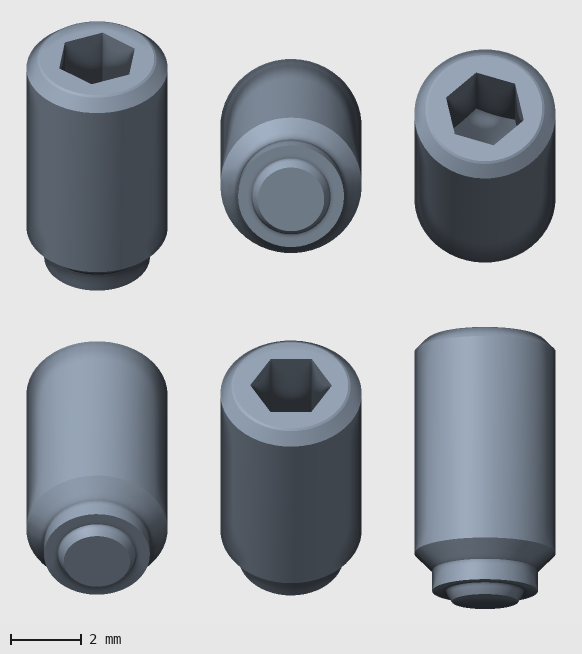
import cadquery as cq
import math

TOTAL_HEIGHT = 7.6
SCREW_RADIUS = 2.0
DOG_RADIUS = 1.5
DOG_BOTTOM = 0.305
DOG_TOP = 0.9
CHAMFER_TOP = DOG_TOP + SCREW_RADIUS - DOG_RADIUS

TOP_CHAMFER = 0.31
BEVEL_HEIGHT = 0.04
BEVEL_WIDTH = 0.07
BEVEL_BOTTOM = TOTAL_HEIGHT - BEVEL_HEIGHT
BEVEL_RADIUS = SCREW_RADIUS - TOP_CHAMFER
RIM_RADIUS = BEVEL_RADIUS - BEVEL_WIDTH

HEX_ACROSS_FLATS = 2.0
HEX_DEPTH = 2.5
CONE_HALF_ANGLE = 60.0
HEX_CORNER_RADIUS = HEX_ACROSS_FLATS / math.sqrt(3)
CONE_DEPTH = HEX_CORNER_RADIUS / math.tan(math.radians(CONE_HALF_ANGLE))

BALL_RADIUS = 1.21
BALL_CENTER_HEIGHT = 0.76


def make_ball():
    """Ball with its underside cut flat at Z = 0."""
    ball = cq.Workplane("XY").sphere(BALL_RADIUS).translate((0, 0, BALL_CENTER_HEIGHT))
    upper_space = cq.Workplane("XY").circle(SCREW_RADIUS).extrude(TOTAL_HEIGHT)
    return ball.intersect(upper_space)


def make_hex_socket():
    """Hexagonal prism with a cone below it, to be cut from the screw."""
    hex_floor = TOTAL_HEIGHT - HEX_DEPTH
    prism = (
        cq.Workplane("XY", origin=(0, 0, hex_floor))
        .polygon(6, 2 * HEX_CORNER_RADIUS)
        .extrude(HEX_DEPTH)
    )
    cone = (
        cq.Workplane("XZ")
        .moveTo(0, hex_floor - CONE_DEPTH)
        .lineTo(HEX_CORNER_RADIUS, hex_floor)
        .lineTo(0, hex_floor)
        .close()
        .revolve(360, (0, 0, 0), (0, 1, 0))
    )
    hex_column = cq.Workplane("XY").polygon(6, 2 * HEX_CORNER_RADIUS).extrude(TOTAL_HEIGHT)
    return prism.union(cone.intersect(hex_column))


def make_screw(ball):
    """Turned screw body with a hexagon socket above and a ball seat below."""
    blank = (
        cq.Workplane("XZ")
        .moveTo(0, DOG_BOTTOM)
        .lineTo(DOG_RADIUS, DOG_BOTTOM)
        .lineTo(DOG_RADIUS, DOG_TOP)
        .lineTo(SCREW_RADIUS, CHAMFER_TOP)
        .lineTo(SCREW_RADIUS, BEVEL_BOTTOM - TOP_CHAMFER)
        .lineTo(BEVEL_RADIUS, BEVEL_BOTTOM)
        .lineTo(RIM_RADIUS, TOTAL_HEIGHT)
        .lineTo(0, TOTAL_HEIGHT)
        .close()
        .revolve(360, (0, 0, 0), (0, 1, 0))
    )
    return blank.cut(make_hex_socket()).cut(ball)


ball = make_ball()
screw = make_screw(ball)

result = cq.Compound.makeCompound([screw.solids().val(), ball.solids().val()])